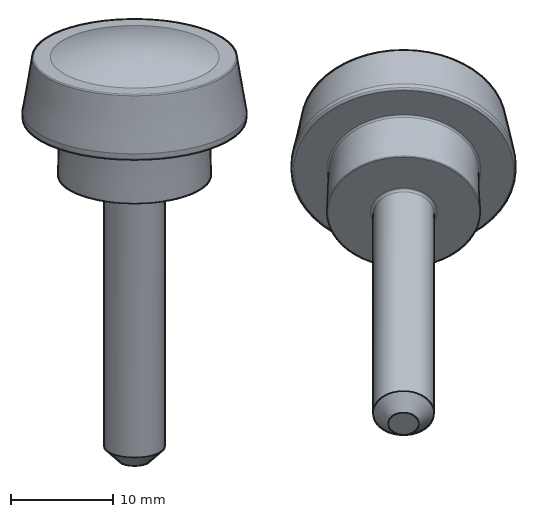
import cadquery as cq

total_height = 44.0
head_diameter = 22.0

dome_height = 1.4
dome_radius = 8.25
head_height = 6.6
head_top_radius = 10.05
head_rim_height = 0.75
head_top_round = 0.15
head_bottom_round = 0.2

neck_height = 5.95
neck_top_radius = 7.35
neck_bottom_radius = 7.52
neck_edge_round = 0.1
neck_root_round = 0.18

pin_diameter = 6.0
pin_root_round = 0.25

head_radius = head_diameter / 2
pin_radius = pin_diameter / 2
tip_radius = pin_radius / 2
tip_height = pin_radius - tip_radius

head_top = total_height - dome_height
head_bottom = head_top - head_height
neck_bottom = head_bottom - neck_height


def make_head():
    """Tapered disc with a straight rim band and rounded outer edges."""
    outline = (
        cq.Workplane("XZ")
        .moveTo(0, head_bottom)
        .lineTo(head_radius, head_bottom)
        .lineTo(head_radius, head_bottom + head_rim_height)
        .lineTo(head_top_radius, head_top)
        .lineTo(0, head_top)
        .close()
    )
    body = outline.revolve(360, (0, 0, 0), (0, 1, 0))
    body = body.faces(">Z").edges().fillet(head_top_round)
    return body.faces("<Z").edges().fillet(head_bottom_round)


def make_dome():
    """Shallow spherical cap on top of the head."""
    sphere_radius = (dome_radius**2 + dome_height**2) / (2 * dome_height)
    sphere = cq.Workplane("XY").sphere(sphere_radius)
    sphere = sphere.translate((0, 0, total_height - sphere_radius))
    core = cq.Workplane("XY").workplane(offset=head_bottom)
    return core.circle(dome_radius).extrude(head_height + dome_height).intersect(sphere)


def make_neck():
    """Neck widening slightly downward, with a rounded lower edge."""
    outline = (
        cq.Workplane("XZ")
        .moveTo(0, neck_bottom)
        .lineTo(neck_bottom_radius, neck_bottom)
        .lineTo(neck_top_radius, head_bottom)
        .lineTo(0, head_bottom)
        .close()
    )
    body = outline.revolve(360, (0, 0, 0), (0, 1, 0))
    return body.faces("<Z").edges().fillet(neck_edge_round)


def make_pin():
    """Cylindrical pin from the tip up to the neck."""
    pin = cq.Workplane("XY").circle(pin_radius).extrude(neck_bottom)
    return pin.faces("<Z").edges().chamfer(tip_height)


def round_inside_corner(body, radius, height, fillet_radius):
    """Fillet the inside corner circle of the given radius and height."""
    margin = 0.02
    reach = radius + margin
    low = (-reach, -reach, height - margin)
    high = (reach, reach, height + margin)
    corner = cq.selectors.BoxSelector(low, high, boundingbox=True)
    return body.edges(corner).fillet(fillet_radius)


result = make_head().union(make_dome()).union(make_neck()).union(make_pin())
result = round_inside_corner(result, neck_top_radius, head_bottom, neck_root_round)
result = round_inside_corner(result, pin_radius, neck_bottom, pin_root_round)